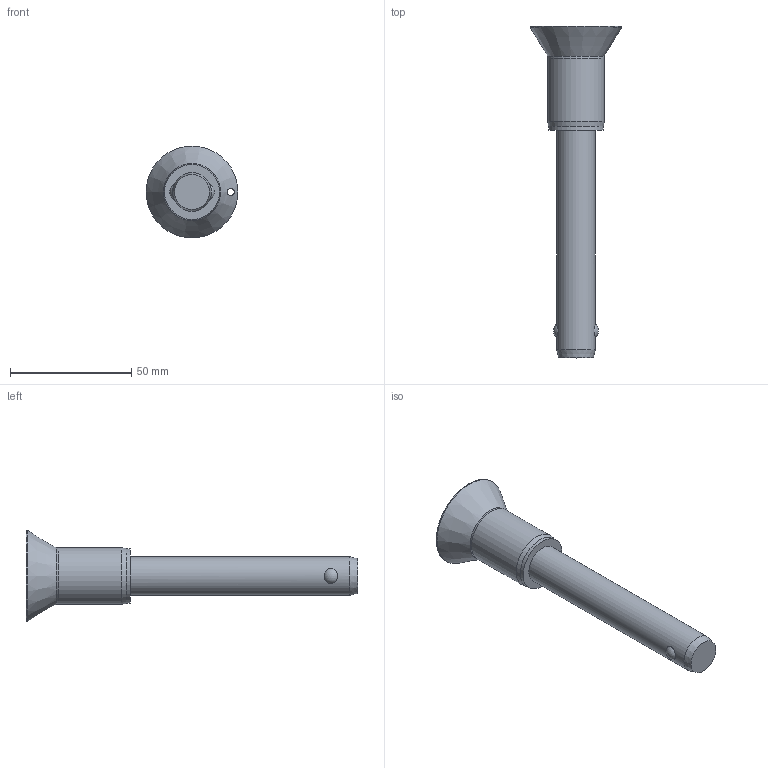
import cadquery as cq


shank_radius = 8.0
shank_length = 94.0
tip_radius = 7.2
tip_taper_length = 3.4

handle_radius = 11.75
collar_radius = 11.35
collar_length = 1.65
collar_taper_length = 2.05
head_start = 29.8
neck_length = 0.9
neck_radius = 11.65

head_radius = 19.0
head_end = 43.1
rim_thickness = 0.4

ball_radius = 3.45
ball_reach = 9.3
ball_from_tip = 11.2

lanyard_hole_diameter = 3.0
lanyard_hole_x = 16.0


def make_body():
    """Shank, handle and flared head turned as one profile about the Y axis."""
    tip_y = -shank_length
    flare_start = head_start + neck_length
    flare_end = head_end - rim_thickness
    profile = (
        cq.Workplane("XY")
        .moveTo(0, tip_y)
        .lineTo(tip_radius, tip_y)
        .lineTo(shank_radius, tip_y + tip_taper_length)
        .lineTo(shank_radius, 0)
        .lineTo(collar_radius, 0)
        .lineTo(collar_radius, collar_length)
        .lineTo(handle_radius, collar_length + collar_taper_length)
        .lineTo(handle_radius, head_start)
        .lineTo(neck_radius, flare_start)
        .lineTo(head_radius, flare_end)
        .lineTo(head_radius, head_end)
        .lineTo(0, head_end)
        .close()
    )
    return profile.revolve(360, (0, 0, 0), (0, 1, 0))


def make_ball(side):
    """Locking ball on the +X side (side = 1) or the -X side (side = -1)."""
    center_x = side * (ball_reach - ball_radius)
    center_y = ball_from_tip - shank_length
    return cq.Workplane("XY").sphere(ball_radius).translate((center_x, center_y, 0))


def make_lanyard_hole():
    """Cutter parallel to the axis, running through the flare only."""
    return (
        cq.Workplane("XZ", origin=(lanyard_hole_x, head_end, 0))
        .circle(lanyard_hole_diameter / 2)
        .extrude(head_end - head_start)
    )


result = make_body()
for side in (-1, 1):
    result = result.union(make_ball(side))
result = result.cut(make_lanyard_hole())